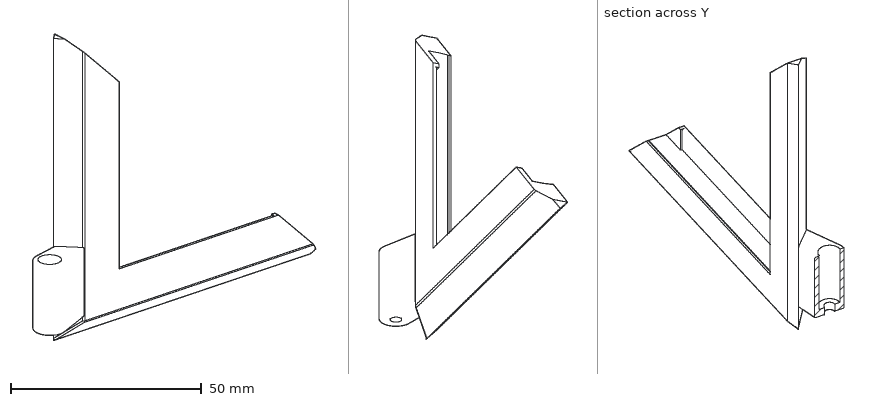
import cadquery as cq
import math

leg_length = 87.0
thickness = 7.9
ridge_x = 2.1
plate_depth = 17.7
front_depth = 11.4
floor_depth = 10.9
lip_depth = 11.2
lip_back_x = 0.9
lip_front_x = 0.6
floor_start_x = 2.9
plate_front_x = 6.2
back_edge_chamfer = 0.3
plate_edge_radius = 0.5
mitre_chamfer = 0.3

recess_x = 6.7
recess_end = 70.4

pin_x = 8.1
pin_y = -6.0
knuckle_radius = 4.5
knuckle_bottom = 7.2
knuckle_height = 20.0
knuckle_fillet = 0.5
root_overlap = 0.8
bore_diameter = 6.1
bore_depth = 17.6
through_diameter = 3.0


def leg_section():
    """Closed (x, depth) outline of one leg."""
    back_depth = thickness - ridge_x
    return [
        (ridge_x, 0),
        (thickness - back_edge_chamfer, back_depth - back_edge_chamfer),
        (thickness, back_depth + back_edge_chamfer),
        (thickness, plate_depth),
        (plate_front_x, plate_depth),
        (plate_front_x, floor_depth),
        (floor_start_x, floor_depth),
        (lip_back_x, lip_depth),
        (lip_front_x, front_depth),
        (0, front_depth),
        (0, ridge_x),
    ]


def horizontal_leg():
    """Leg along +Y, mitred at the corner and cut at 45 degrees at its far end."""
    bar = cq.Workplane("XZ").polyline(leg_section()).close().extrude(-leg_length)
    end_cut = plate_depth - ridge_x
    side_outline = [
        (0, 0),
        (leg_length, 0),
        (leg_length, ridge_x),
        (leg_length - end_cut, plate_depth),
        (plate_depth, plate_depth),
    ]
    side = cq.Workplane("YZ").polyline(side_outline).close().extrude(thickness)
    return bar.intersect(side)


def recess_cutter():
    """Recess along the horizontal leg, rounding the plate's inner edge."""
    arc_center = (recess_x + plate_edge_radius, plate_depth - plate_edge_radius)
    arc_offset = plate_edge_radius * math.sqrt(0.5)
    cutter = (
        cq.Workplane("XZ")
        .moveTo(plate_front_x, floor_depth)
        .lineTo(recess_x, floor_depth)
        .lineTo(recess_x, arc_center[1])
        .threePointArc(
            (arc_center[0] - arc_offset, arc_center[1] + arc_offset),
            (arc_center[0], plate_depth),
        )
        .lineTo(plate_front_x, plate_depth)
        .close()
        .extrude(-recess_end)
    )
    wedge_outline = [(floor_depth, floor_depth), (recess_end, floor_depth),
                     (recess_end, plate_depth), (plate_depth, plate_depth)]
    wedge = cq.Workplane("YZ").polyline(wedge_outline).close().extrude(thickness)
    return cutter.intersect(wedge)


def both_legs(shape):
    """Join a horizontal-leg shape with its mirror image about the plane Y = Z."""
    return shape.union(shape.mirror(cq.Vector(0, 1, -1)))


def tangent_point(x, y, side):
    """Point where a line from (x, y) touches the knuckle; side is +1 or -1."""
    distance = math.hypot(x - pin_x, y - pin_y)
    angle = math.atan2(y - pin_y, x - pin_x) + side * math.acos(knuckle_radius / distance)
    return (pin_x + knuckle_radius * math.cos(angle), pin_y + knuckle_radius * math.sin(angle))


def knuckle():
    """Tapered hinge arm rounded about the pin, rooted on the leg's back bevel."""
    ridge = (ridge_x, 0)
    heel = (thickness, thickness - ridge_x)
    arm = (
        cq.Workplane("XY", origin=(0, 0, knuckle_bottom))
        .moveTo(*heel)
        .lineTo(*tangent_point(*heel, -1))
        .threePointArc((pin_x, pin_y - knuckle_radius), tangent_point(*ridge, 1))
        .lineTo(*ridge)
        .lineTo(ridge[0] - root_overlap, ridge[1] + root_overlap)
        .lineTo(heel[0] - root_overlap, heel[1] + root_overlap)
        .close()
        .extrude(knuckle_height)
    )
    return arm.faces("<Z or >Z").edges().fillet(knuckle_fillet)


def pin_bore():
    """Stepped bore: wide from the top, narrow through the bottom."""
    top = cq.Workplane("XY", origin=(pin_x, pin_y, knuckle_bottom + knuckle_height))
    return (
        top.circle(bore_diameter / 2).extrude(-bore_depth)
        .union(top.circle(through_diameter / 2).extrude(-knuckle_height))
    )


def mitre_cutter():
    """Prism that flattens the sharp outer corner where the two back bevels meet."""
    reach = thickness - ridge_x
    flat = mitre_chamfer
    near = [(0, 0), (2 * flat, 0), (0, 2 * flat)]
    far = [(reach, reach), (reach + 2 * flat, reach), (reach, reach + 2 * flat)]
    return (
        cq.Workplane("YZ", origin=(ridge_x, 0, 0)).polyline(near).close()
        .workplane(offset=reach).polyline(far).close()
        .loft(ruled=True)
    )


frame = both_legs(horizontal_leg()).cut(both_legs(recess_cutter())).cut(mitre_cutter())
result = frame.union(knuckle()).cut(pin_bore())